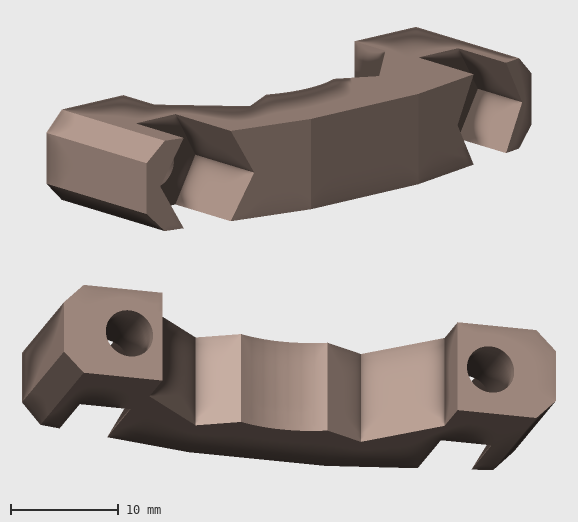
import cadquery as cq

depth = 17.75
length = 47.6
height = 8.7

back_flat_half = 6.6
end_depth = 14.15

lug_inner_y = 14.3
lug_inner_depth = 4.4
notch_y = 8.0
notch_depth = lug_inner_depth + lug_inner_y - notch_y
arc_tip_y = 4.2
arc_tip_depth = 8.6
arc_mid_depth = 9.52

end_chamfer = 1.9
hole_y = 17.5
hole_diameter = 4.55
pocket_floor = 8.2
pocket_mouth_width = 4.9
pocket_mid_width = 2 * pocket_mouth_width


def make_body():
    """Clamp outline extruded over the full height, centred on Y and Z."""
    half_length = length / 2
    return (
        cq.Workplane("XY", origin=(0, 0, -height / 2))
        .moveTo(0, -half_length)
        .lineTo(end_depth, -half_length)
        .lineTo(depth, -back_flat_half)
        .lineTo(depth, back_flat_half)
        .lineTo(end_depth, half_length)
        .lineTo(0, half_length)
        .lineTo(0, lug_inner_y)
        .lineTo(lug_inner_depth, lug_inner_y)
        .lineTo(notch_depth, notch_y)
        .lineTo(arc_tip_depth, arc_tip_y)
        .threePointArc((arc_mid_depth, 0), (arc_tip_depth, -arc_tip_y))
        .lineTo(notch_depth, -notch_y)
        .lineTo(lug_inner_depth, -lug_inner_y)
        .lineTo(0, -lug_inner_y)
        .close()
        .extrude(height)
    )


def make_nut_pocket(center_y):
    """Hexagonal pocket, open at the top, bottom and back, widest at mid height."""
    mouth_half = pocket_mouth_width / 2
    mid_half = pocket_mid_width / 2
    top = height / 2
    return (
        cq.Workplane("YZ", origin=(pocket_floor, center_y, 0))
        .polyline([
            (-mid_half, 0),
            (-mouth_half, top),
            (mouth_half, top),
            (mid_half, 0),
            (mouth_half, -top),
            (-mouth_half, -top),
        ])
        .close()
        .extrude(depth - pocket_floor)
    )


def make_bolt_hole(center_y):
    """Round hole running along X through the lug."""
    return (
        cq.Workplane("YZ", origin=(0, center_y, 0))
        .circle(hole_diameter / 2)
        .extrude(depth)
    )


result = make_body()

result = result.faces("<Y or >Y").edges("|X").chamfer(end_chamfer)

for side in (-1, 1):
    result = result.cut(make_nut_pocket(side * hole_y))
    result = result.cut(make_bolt_hole(side * hole_y))